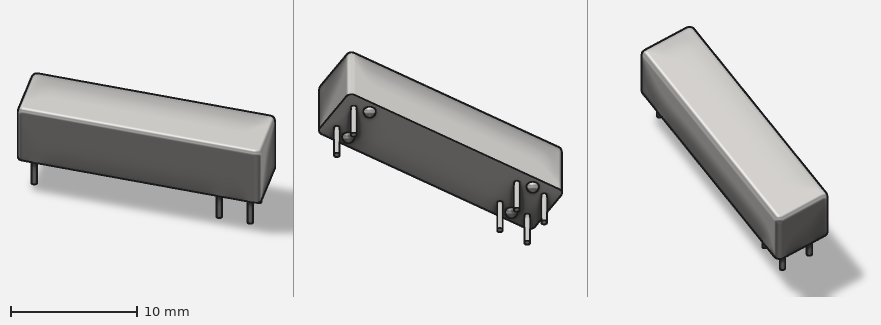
import cadquery as cq

body_length = 20.07
body_width = 4.95
overall_height = 8.49
pin_length = 3.2
body_height = overall_height - pin_length
edge_radius = 0.5

pin_diameter = 0.46
pin_pitch = 2.55
end_pin_x = 8.9
inner_pin_x = end_pin_x - pin_pitch
pin_row_y = pin_pitch / 2

standoff_radius = 0.5
standoff_x = end_pin_x - pin_pitch / 2
standoff_y = 1.6


def make_body():
    """Block standing on Z = 0 with rounded top and vertical edges."""
    block = cq.Workplane("XY").box(
        body_length, body_width, body_height, centered=(True, True, False)
    )
    return block.edges("|Z or >Z").fillet(edge_radius)


def make_pins():
    """Round pins hanging from the underside: one pair at -X, two pairs at +X."""
    positions = [
        (x, y)
        for x in (-end_pin_x, inner_pin_x, end_pin_x)
        for y in (-pin_row_y, pin_row_y)
    ]
    return cq.Workplane("XY").pushPoints(positions).circle(pin_diameter / 2).extrude(-pin_length)


def make_standoffs():
    """Four spheres centred on the underside; their lower halves stay exposed."""
    return (
        cq.Workplane("XY")
        .rect(2 * standoff_x, 2 * standoff_y, forConstruction=True)
        .vertices()
        .sphere(standoff_radius)
    )


result = make_body().union(make_pins()).union(make_standoffs())